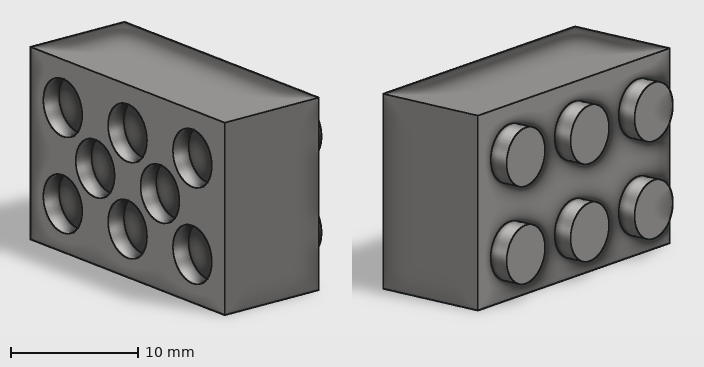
import cadquery as cq

length = 24.0
columns = 3
rows = 2
body_depth = 9.6
stud_diameter = 4.8
stud_height = 1.6
socket_depth = 1.6

pitch = length / columns
height = rows * pitch


def grid_points(column_count, row_count):
    """Centres of a stud grid, centred on the brick in X and Z."""
    return [
        ((column - (column_count - 1) / 2) * pitch, (row - (row_count - 1) / 2) * pitch)
        for column in range(column_count)
        for row in range(row_count)
    ]


def cylinders(points, start_y, depth):
    """Round pegs along +Y, starting at start_y."""
    return (
        cq.Workplane("XZ", origin=(0, start_y, 0))
        .pushPoints(points)
        .circle(stud_diameter / 2)
        .extrude(-depth)
    )


body = cq.Workplane("XY").box(length, body_depth, height).translate((0, body_depth / 2, 0))

stud_points = grid_points(columns, rows)
studs = cylinders(stud_points, body_depth, stud_height)

socket_points = stud_points + grid_points(columns - 1, rows - 1)
sockets = cylinders(socket_points, 0, socket_depth)

result = body.union(studs).cut(sockets)